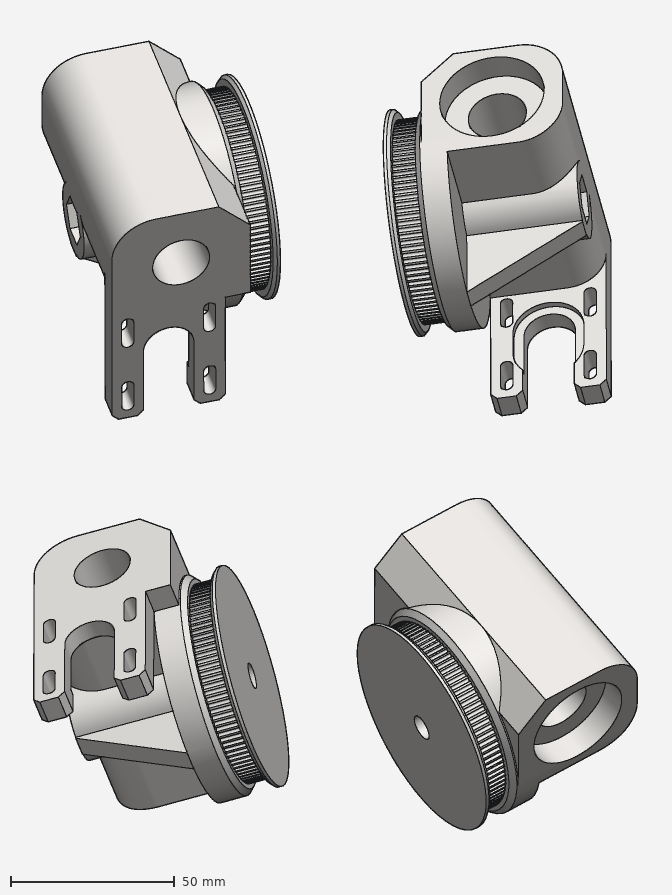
import cadquery as cq
import math


rim_radius = 35.0
block_depth = 44.0
block_drop = 5.0
block_fillet = 14.0
step_drop = 3.0
step_fillet = block_fillet - (block_drop - step_drop)
block_chamfer = 10.0
leg_thickness = 8.0
block_left = -rim_radius
leg_left = rim_radius
block_right = leg_left + leg_thickness

disc_front = 36.0
disc_back = 44.5
boss_radius = 12.0
rib_width = 6.4
axle_radius = 4.0
hex_across_flats = 13.4
hex_depth = 10.0

bore_y = block_depth / 2
bore_z = (rim_radius - block_drop) / 2
bore_radius = 9.05
seat_radius = 16.25
seat_depth = 8.8

leg_width = disc_front
leg_bottom = -45.0
leg_chamfer = 2.0
prong_width = 10.0
prong_gap = leg_width - 2 * prong_width
leg_middle_y = leg_width / 2
slot_spacing = leg_width - prong_width
slot_width = 3.85
slot_length = 11.7
slot_travel = slot_length - slot_width
upper_slot_z = -10.0
motor_z = upper_slot_z - slot_spacing / 2
pilot_radius = 11.05
pilot_depth = 2.0

inner_flange_thickness = 1.8
inner_flange_slope = 45
outer_flange_land = 1.05
outer_flange_chamfer = 1.05
belt_width = 7.5
tooth_count = 100
tooth_tip_radius = 31.6
tooth_root_radius = 30.8
gap_mouth = 1.3
groove_width = 1.1
groove_start_radius = tooth_root_radius + groove_width / 2

yaw = -0.5
pitch = -0.38


def y_cylinder(radius, start, length):
    """Cylinder on the pulley axis, from Y = start towards +Y."""
    plane = cq.Workplane("XZ", origin=(0, start, 0))
    return plane.circle(radius).extrude(-length)


def x_cylinder(radius, start, length):
    """Cylinder on the rod bore axis, from X = start towards +X."""
    plane = cq.Workplane("YZ", origin=(start, bore_y, bore_z))
    return plane.circle(radius).extrude(length)


def upright_slot(start, depth, y, z, width, length):
    """Round-ended prism along X, standing upright and centred on (y, z)."""
    plane = cq.Workplane("YZ", origin=(start, y, z))
    return plane.slot2D(length, width, 90).extrude(depth)


def box(x_range, y_range, z_range):
    """Box between the given pairs of limits."""
    sizes = [high - low for low, high in (x_range, y_range, z_range)]
    corner = (x_range[0], y_range[0], z_range[0])
    return cq.Workplane("XY").box(*sizes, centered=False).translate(corner)


def make_block_length(x_range, drop, lower_fillet):
    """Stretch of the rod block with rounded front edges and a chamfered top back edge."""
    block = box(x_range, (0, block_depth), (-drop, rim_radius))
    block = block.edges("|X and <Y and >Z").fillet(block_fillet)
    block = block.edges("|X and <Z and <Y").fillet(lower_fillet)
    return block.edges("|X and >Y and >Z").chamfer(block_chamfer)


def make_block():
    """Whole rod block; its lower left end follows the round rim."""
    left_part = make_block_length((block_left, 0), block_drop, block_fillet)
    right_part = make_block_length((0, block_right), step_drop, step_fillet)
    corner = box((block_left, 0), (0, block_depth), (-block_drop, 0))
    outside_rim = corner.cut(y_cylinder(rim_radius, 0, block_depth))
    return left_part.cut(outside_rim).union(right_part)


def make_disc():
    """Round disc behind the boss; its upper half also fills the block's chamfered edge."""
    disc = y_cylinder(rim_radius, disc_front, disc_back - disc_front)
    crown = y_cylinder(rim_radius, block_depth - block_chamfer, block_chamfer)
    upper_half = box((block_left, rim_radius), (0, block_depth), (0, rim_radius))
    return disc.union(crown.intersect(upper_half))


def make_rib():
    """Triangular web under the boss, running out to the rim of the disc."""
    plane = cq.Workplane("YZ", origin=(-rib_width / 2, 0, 0))
    return plane.polyline([
        (0, 0),
        (0, -boss_radius),
        (disc_front, -rim_radius),
        (disc_front, 0),
    ]).close().extrude(rib_width)


def make_leg():
    """Slotted fork that holds the motor below the right end of the block."""
    leg = box((leg_left, block_right), (0, leg_width), (leg_bottom, bore_z))
    gap_length = 2 * (motor_z - leg_bottom) + slot_travel + prong_gap
    gap = upright_slot(
        leg_left, leg_thickness, leg_middle_y, leg_bottom, prong_gap, gap_length
    )
    leg = leg.cut(gap).faces("<Z").edges("|X").chamfer(leg_chamfer)

    pilot_length = 2 * pilot_radius + slot_travel
    leg = leg.cut(upright_slot(
        leg_left, pilot_depth, leg_middle_y, motor_z, 2 * pilot_radius, pilot_length
    ))
    for y_side in (-1, 1):
        for z_side in (-1, 1):
            slot_y = leg_middle_y + y_side * slot_spacing / 2
            slot_z = motor_z + z_side * slot_spacing / 2
            leg = leg.cut(upright_slot(
                leg_left, leg_thickness, slot_y, slot_z, slot_width, slot_length
            ))
    return leg


def make_housing():
    """Rod block, disc, axle boss, rib and motor leg as one solid."""
    housing = make_block().union(make_disc())
    housing = housing.union(y_cylinder(boss_radius, 0, disc_front))
    housing = housing.union(make_rib()).union(make_leg())

    bore = x_cylinder(bore_radius, block_left, block_right - block_left)
    seat = x_cylinder(seat_radius, block_left, seat_depth)
    axle_hole = y_cylinder(axle_radius, 0, disc_back)
    hex_across_corners = hex_across_flats / math.cos(math.pi / 6)
    hex_pocket = cq.Workplane("XZ").polygon(6, hex_across_corners).extrude(-hex_depth)
    return housing.cut(bore).cut(seat).cut(axle_hole).cut(hex_pocket)


def make_toothed_rim(start):
    """Ring of belt teeth with rounded gaps between them."""
    pitch_angle = 2 * math.pi / tooth_count
    mouth_angle = gap_mouth / 2 / tooth_tip_radius
    groove_angle = groove_width / 2 / groove_start_radius

    def polar(radius, angle):
        return (radius * math.cos(angle), radius * math.sin(angle))

    plane = cq.Workplane("XZ", origin=(0, start, 0))
    outline = plane.moveTo(*polar(tooth_tip_radius, -mouth_angle))
    for tooth in range(tooth_count):
        angle = tooth * pitch_angle
        outline = outline.lineTo(*polar(groove_start_radius, angle - groove_angle))
        outline = outline.threePointArc(
            polar(tooth_root_radius, angle),
            polar(groove_start_radius, angle + groove_angle),
        )
        outline = outline.lineTo(*polar(tooth_tip_radius, angle + mouth_angle))
        outline = outline.threePointArc(
            polar(tooth_tip_radius, angle + pitch_angle / 2),
            polar(tooth_tip_radius, angle + pitch_angle - mouth_angle),
        )
    return outline.close().extrude(-belt_width)


def make_pulley():
    """Belt pulley with two flanges, resting on the back of the housing."""
    outer_flange_thickness = outer_flange_land + outer_flange_chamfer
    belt_start = disc_back + inner_flange_thickness
    outer_start = belt_start + belt_width
    pulley_width = outer_start + outer_flange_thickness - disc_back

    inner_plane = cq.Workplane("XZ", origin=(0, disc_back, 0))
    inner_flange = inner_plane.circle(rim_radius).extrude(-inner_flange_thickness, taper=inner_flange_slope)
    outer_flange = y_cylinder(rim_radius, outer_start, outer_flange_thickness)
    outer_flange = outer_flange.faces("<Y").chamfer(outer_flange_chamfer)
    pulley = make_toothed_rim(belt_start).union(inner_flange).union(outer_flange)
    return pulley.cut(y_cylinder(axle_radius, disc_back, pulley_width))


def lean(body):
    """Turn a body about the origin by the small lean of the assembly."""
    body = body.rotate((0, 0, 0), (0, 1, 0), pitch)
    return body.rotate((0, 0, 0), (0, 0, 1), yaw)


housing = lean(make_housing())
pulley = lean(make_pulley())

result = cq.Compound.makeCompound([housing.val(), pulley.val()])